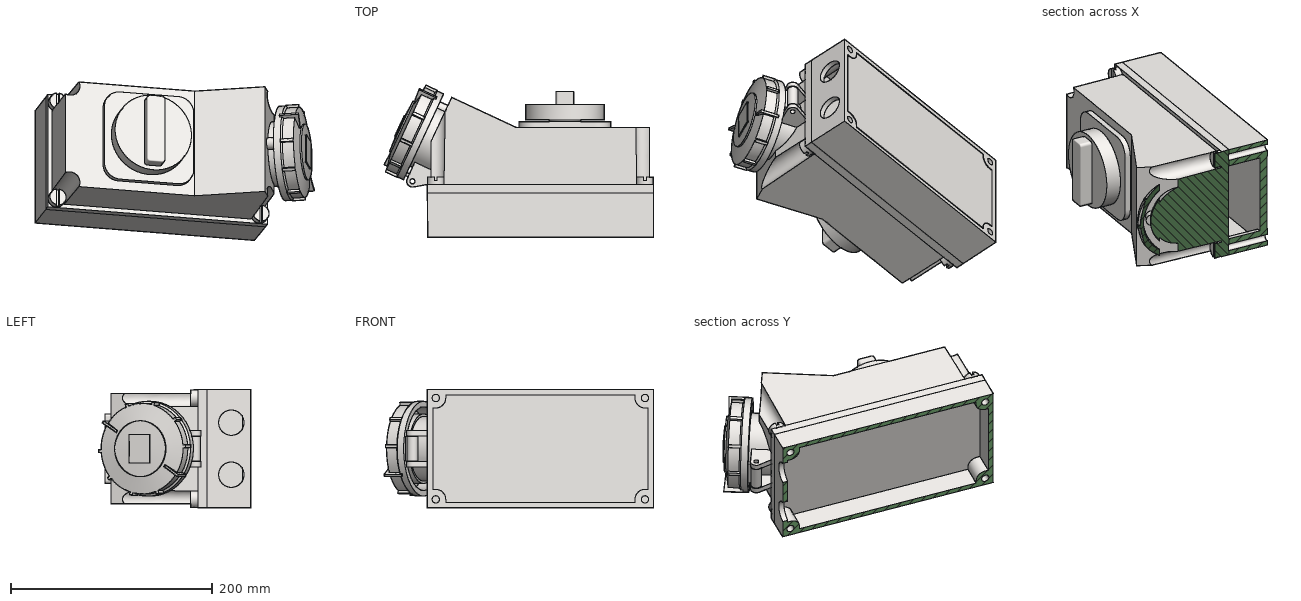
import cadquery as cq
import math

box_length = 225.2
box_width = 118.0
base_height = 44.0
base_end_draft = 0.5
wall = 5.5
floor_thickness = 8.5
panel_recess = 0.5
entry_radius = 12.5
entry_spacing = 51.7
entry_height = 19.5

screw_inset = 8.5
screw_hole_diameter = 7.2
boss_radius = 10.0
head_radius = 8.3
head_height = 7.5
head_slot_width = 2.7
head_slot_depth = 3.5
screw_recess_radius = 9.5
screw_recess_flare = 0.8
screw_points = [
    (x, z)
    for x in (screw_inset, box_length - screw_inset)
    for z in (screw_inset - box_width / 2, box_width / 2 - screw_inset)
]

flange_top = 52.5
cover_width = 110.0
cover_end_inset = 4.0
cover_top = 109.4
peak_x = 24.5
peak_y = 139.5
socket_tilt = 25.0

switch_x = 137.0
plate_side = 91.5
plate_height = 6.0
plate_corner = 15.8
stem_radius = 15.8
stem_height = 1.5
dial_radius = 39.1
dial_height = 15.5
handle_width = 18.0
handle_length = 69.5
handle_height = 13.0
handle_corner = 3.0
handle_edge = 1.0

tilt = math.radians(socket_tilt)
rim_x = -3.5
rim_y = 100.0
socket_frame = cq.Location(
    cq.Plane(
        origin=(rim_x, rim_y, 0),
        xDir=(0, 0, 1),
        normal=(-math.cos(tilt), math.sin(tilt), 0),
    )
)

neck_radius = 32.2
neck_root = -37.5
collar_radius = 34.5
key_radius = 6.0
key_offset = 32.7
key_root = -10.7

rim_radius = 47.2
rim_thickness = 7.0
cap_radius = 45.0
cap_step_end = 8.5
cap_edge_height = 19.8
cavity_radius = 41.5
cavity_depth = 16.0
disc_radius = 28.0
disc_base_height = 23.0
disc_edge_height = 24.7
disc_crown_height = 26.3
badge_width = 22.5
badge_length = 28.5
badge_height = 26.5
rib_count = 10
rib_width = 3.0
rib_radius = 47.7
first_rib_angle = 57.0
fin_width = 2.5
fin_inner_radius = 30.8
fin_outer_radius = 49.0
fin_bottom = 4.8
fin_top = 24.0

pin_height = -8.5
pin_offset = -44.8
pin_hole_radius = 2.5
lug_radius = 6.0
lug_inner = 12.5
lug_outer = 18.2
lug_neck_offset = -21.5
lug_root = -21.5
lug_foot = 8.0
barrel_radius = 5.4
barrel_length = 24.7
strap_near = -39.1
strap_far = -42.5
strap_embed = 1.3


def at_height(y):
    """Workplane parallel to the mounting face; local X is X, local Y is Z, extrusion runs to -Y."""
    return cq.Workplane("XZ", origin=(0, y, 0))


def socket_point(height, offset):
    """X, Y of a point in the middle plane, from its height along the socket axis and offset up the face."""
    x = rim_x - height * math.cos(tilt) + offset * math.sin(tilt)
    y = rim_y + height * math.sin(tilt) + offset * math.cos(tilt)
    return x, y


def disc(radius, start, end):
    """Cylinder along local Z."""
    return cq.Workplane("XY").workplane(offset=start).circle(radius).extrude(end - start)


def panel_block(bottom, top):
    """Block filling the inside of the base wall, leaving a rounded boss at each corner."""
    block = at_height(bottom).center(box_length / 2, 0)
    block = block.rect(box_length - 2 * wall, box_width - 2 * wall).extrude(bottom - top)
    boss_side = 2 * (screw_inset + boss_radius)
    corners = [(x, z) for x in (0, box_length) for z in (-box_width / 2, box_width / 2)]
    bosses = at_height(bottom).pushPoints(corners).rect(boss_side, boss_side).extrude(bottom - top)
    bosses = bosses.edges("|Y").fillet(boss_radius)
    return block.cut(bosses)


def make_base():
    outline = [(base_end_draft, 0), (box_length, 0), (box_length, base_height), (0, base_height)]
    base = cq.Workplane("XY").polyline(outline).close().extrude(box_width / 2, both=True)
    base = base.cut(panel_block(0, panel_recess))
    base = base.cut(panel_block(floor_thickness, base_height))
    screw_holes = at_height(0).pushPoints(screw_points).circle(screw_hole_diameter / 2).extrude(-base_height)
    entries = (
        cq.Workplane("YZ")
        .pushPoints([(entry_height, z) for z in (-entry_spacing / 2, entry_spacing / 2)])
        .circle(entry_radius)
        .extrude(wall)
    )
    return base.cut(screw_holes).cut(entries)


def make_cover_shell():
    flange = at_height(base_height).center(box_length / 2, 0)
    flange = flange.rect(box_length, box_width).extrude(base_height - flange_top)
    near_x = cover_end_inset
    far_x = box_length - cover_end_inset
    slope = math.tan(tilt)
    outline = [
        (near_x, flange_top),
        (far_x, flange_top),
        (far_x, cover_top),
        (peak_x + (peak_y - cover_top) / slope, cover_top),
        (peak_x, peak_y),
        (near_x, peak_y - (peak_x - near_x) / slope),
    ]
    body = cq.Workplane("XY").polyline(outline).close().extrude(cover_width / 2, both=True)
    for x, z in screw_points:
        recess = at_height(flange_top).center(x, z).circle(screw_recess_radius)
        body = body.cut(recess.extrude(flange_top - peak_y, taper=-screw_recess_flare))
    return flange.union(body)


def make_screw_heads():
    heads = at_height(flange_top).pushPoints(screw_points).circle(head_radius).extrude(-head_height)
    slots = (
        at_height(flange_top + head_height)
        .pushPoints(screw_points)
        .rect(head_slot_width, 2 * head_radius)
        .extrude(head_slot_depth)
    )
    return heads.cut(slots)


def make_switch():
    plate_top = cover_top + plate_height
    dial_bottom = plate_top + stem_height
    dial_top = dial_bottom + dial_height
    plate = at_height(cover_top).center(switch_x, 0).rect(plate_side, plate_side).extrude(-plate_height)
    plate = plate.edges("|Y").fillet(plate_corner)
    stem = at_height(plate_top).center(switch_x, 0).circle(stem_radius).extrude(-stem_height)
    dial = at_height(dial_bottom).center(switch_x, 0).circle(dial_radius).extrude(-dial_height)
    handle = at_height(dial_top).center(switch_x, 0).rect(handle_width, handle_length)
    handle = handle.extrude(-handle_height).edges("|Y").fillet(handle_corner)
    handle = handle.faces(">Y").edges().fillet(handle_edge)
    return plate.union(stem).union(dial).union(handle)


def make_neck():
    neck = disc(neck_radius, neck_root, cavity_depth)
    collar = disc(collar_radius, 0, cavity_depth)
    key = disc(key_radius, key_root, 0).translate((0, key_offset, 0))
    return cq.Workplane(neck.union(collar).union(key).val().moved(socket_frame))


def make_hinge_lugs():
    pin_x, pin_y = socket_point(pin_height, pin_offset)
    lug_front = pin_height + lug_radius
    corner_angle = math.atan2(flange_top - pin_y, -pin_x)
    touch_angle = corner_angle - math.acos(lug_radius / math.hypot(pin_x, flange_top - pin_y))
    outline = [
        socket_point(lug_front, lug_neck_offset),
        socket_point(lug_front, pin_offset),
        (pin_x, pin_y),
        (pin_x + lug_radius * math.cos(touch_angle), pin_y + lug_radius * math.sin(touch_angle)),
        (0, flange_top),
        (lug_foot, flange_top),
        socket_point(lug_root, lug_neck_offset),
    ]
    lug_thickness = lug_outer - lug_inner
    lugs = cq.Workplane("XY")
    for start in (lug_inner, -lug_outer):
        plane = cq.Workplane("XY").workplane(offset=start)
        web = plane.polyline(outline).close().extrude(lug_thickness)
        eye = plane.center(pin_x, pin_y).circle(lug_radius).extrude(lug_thickness)
        pin_hole = plane.center(pin_x, pin_y).circle(pin_hole_radius).extrude(lug_thickness)
        lugs = lugs.add(web.union(eye).cut(pin_hole))
    return lugs.combine()


def make_cover():
    cover = make_cover_shell()
    for feature in (make_screw_heads(), make_switch(), make_neck(), make_hinge_lugs()):
        cover = cover.union(feature)
    return cover


def make_cap_shell():
    profile = (
        cq.Workplane("XZ")
        .moveTo(0, cavity_depth)
        .lineTo(cavity_radius, cavity_depth)
        .lineTo(cavity_radius, 0)
        .lineTo(rim_radius, 0)
        .lineTo(rim_radius, rim_thickness)
        .lineTo(cap_radius, cap_step_end)
        .lineTo(cap_radius, cap_edge_height)
        .lineTo(disc_radius, disc_base_height)
        .lineTo(disc_radius, disc_edge_height)
        .lineTo(0, disc_crown_height)
        .close()
    )
    shell = profile.revolve(360, (0, 0), (0, 1))
    badge = cq.Workplane("XY").workplane(offset=disc_base_height)
    badge = badge.rect(badge_length, badge_width).extrude(badge_height - disc_base_height)
    return shell.union(badge)


def add_grip(cap):
    """Equally spaced ribs round the cap; two opposite ones carry a fin reaching over the front."""
    rib_height = cap_edge_height - rim_thickness
    rib_depth = rib_radius - cavity_radius
    rib = cq.Workplane("XY").box(rib_depth, rib_width, rib_height, centered=(False, True, False))
    rib = rib.translate((cavity_radius, 0, rim_thickness))
    fin_outline = [
        (cap_radius, fin_bottom),
        (fin_outer_radius, fin_bottom),
        (fin_outer_radius, fin_top),
        (fin_inner_radius, disc_base_height),
        (cap_radius, cap_edge_height - rim_thickness),
    ]
    fin = cq.Workplane("XZ").polyline(fin_outline).close().extrude(fin_width / 2, both=True)
    for index in range(rib_count):
        grip = fin if index % (rib_count // 2) == 0 else rib
        angle = first_rib_angle + index * 360 / rib_count
        cap = cap.union(grip.rotate((0, 0, 0), (0, 0, 1), angle))
    return cap


def make_hinge_barrel():
    plane = cq.Workplane("YZ").workplane(offset=-barrel_length / 2).center(pin_offset, pin_height)
    barrel = plane.circle(barrel_radius).extrude(barrel_length)
    strap_height = strap_embed - pin_height
    strap = cq.Workplane("XY").box(barrel_length, strap_near - strap_far, strap_height)
    strap = strap.translate((0, (strap_near + strap_far) / 2, (strap_embed + pin_height) / 2))
    pin_hole = plane.circle(pin_hole_radius).extrude(barrel_length)
    return barrel.union(strap).cut(pin_hole)


def make_cap():
    cap = add_grip(make_cap_shell()).union(make_hinge_barrel())
    return cq.Workplane(cap.val().moved(socket_frame))


base = make_base()
cover = make_cover()
cap = make_cap()

result = cq.Compound.makeCompound([*base.solids().vals(), *cover.solids().vals(), *cap.solids().vals()])